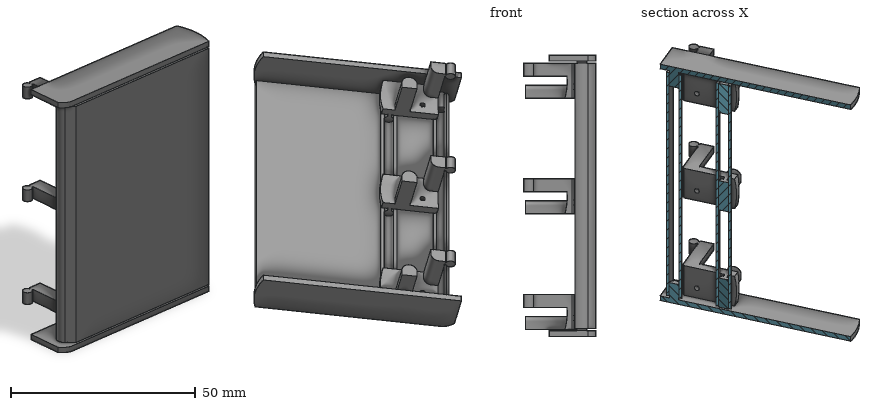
import cadquery as cq
import math

total_height = 76.4
end_plate_thickness = 1.6
panel_gap = 0.5
panel_bottom = end_plate_thickness + panel_gap
panel_top = total_height - panel_bottom

panel_thickness = 2.15
panel_face_x = -panel_thickness
panel_front_y = 4.7
side_corner_y = 54.7

bead_diameter = 2.7
bead_radius = bead_diameter / 2
socket_outer_radius = 2.2
socket_x = -3.8
hinge_y = 4.05
rail_y = 18.5
wide_lip_angle = 75.0
hook_lip_angle = 30.0

end_plate_depth = 12.7
end_plate_crown_y = 55.85
corner_cut_x = 2.15
corner_cut_y = 3.05
corner_bulge = 0.4
hinge_pin_length = 5.0

clip_count = 3
clip_pitch = 31.4
clip_height = 9.55
clip_back_x = -5.95
clip_waist_x = -7.8
clip_hollow = 0.6
clip_front_y = 5.6
clip_end_y = 20.85
clip_end_bulge = 0.6
back_chamfer = 0.5
arm_tip_x = -19.2
arm_width = 4.05
arm_height = 3.6
arm_fillet = 2.15
bead_x = -18.3
neck_width = 1.1
tab_y = 15.5
tab_width = 4.1
tab_wall_height = 1.9
tab_height = 3.6
hole_diameter = 1.4
hole_y = 9.85
hole_height = 3.1


def box(x_range, y_range, z_range):
    """Axis-aligned box between two limits on each axis."""
    lower = (x_range[0], y_range[0], z_range[0])
    size = (x_range[1] - x_range[0], y_range[1] - y_range[0], z_range[1] - z_range[0])
    return cq.Workplane("XY").box(*size, centered=False).translate(lower)


def rod(x, y, radius, z_bottom, z_top):
    """Round rod along Z."""
    return cq.Workplane("XY", origin=(x, y, z_bottom)).circle(radius).extrude(z_top - z_bottom)


def snap_socket(center_y, rear_lip_angle, front_lip_angle):
    """C-shaped snap socket with radial lip ends, open toward -X and cut flat on the panel face."""

    def polar(radius, angle):
        return (socket_x - radius * math.cos(math.radians(angle)),
                center_y + radius * math.sin(math.radians(angle)))

    socket = (
        cq.Workplane("XY", origin=(0, 0, panel_bottom))
        .moveTo(*polar(socket_outer_radius, rear_lip_angle))
        .threePointArc(polar(socket_outer_radius, 180), polar(socket_outer_radius, -front_lip_angle))
        .lineTo(*polar(bead_radius, -front_lip_angle))
        .threePointArc(polar(bead_radius, 180), polar(bead_radius, rear_lip_angle))
        .close()
        .extrude(panel_top - panel_bottom)
    )
    reach = 2 * socket_outer_radius
    behind_face = box(
        (panel_face_x, panel_face_x + reach),
        (center_y - reach, center_y + reach),
        (panel_bottom, panel_top),
    )
    return socket.cut(behind_face)


def rounded_lip(center_y, side):
    """Round nose on one lip of a wide-open socket; side is +1 for the +Y lip, -1 for the -Y lip."""
    lip_angle = math.radians(wide_lip_angle)
    middle_radius = (bead_radius + socket_outer_radius) / 2
    return rod(
        socket_x - middle_radius * math.cos(lip_angle),
        center_y + side * middle_radius * math.sin(lip_angle),
        (socket_outer_radius - bead_radius) / 2,
        panel_bottom,
        panel_top,
    )


def make_panel():
    """Flat panel with the hinge socket on its bevelled front edge and the rail socket on its face."""
    slab = (
        cq.Workplane("XY", origin=(0, 0, panel_bottom))
        .moveTo(0, panel_front_y)
        .lineTo(0, side_corner_y)
        .lineTo(panel_face_x, side_corner_y)
        .lineTo(panel_face_x, panel_front_y - panel_thickness)
        .close()
        .extrude(panel_top - panel_bottom)
    )
    hinge_socket = snap_socket(hinge_y, wide_lip_angle, hook_lip_angle)
    rail_socket = snap_socket(rail_y, wide_lip_angle, wide_lip_angle)
    for side in (1, -1):
        rail_socket = rail_socket.union(rounded_lip(rail_y, side))
    return slab.union(hinge_socket).union(rail_socket)


def make_end_plate(plate_bottom, pin_bottom):
    """End plate with a crowned far end, a rounded rear corner and one hinge pin."""
    corner_chord = math.hypot(corner_cut_x, corner_cut_y)
    corner_middle = (
        -corner_cut_x / 2 + corner_bulge * corner_cut_y / corner_chord,
        corner_cut_y / 2 - corner_bulge * corner_cut_x / corner_chord,
    )
    plate = (
        cq.Workplane("XY", origin=(0, 0, plate_bottom))
        .moveTo(-end_plate_depth, 0)
        .lineTo(-corner_cut_x, 0)
        .threePointArc(corner_middle, (0, corner_cut_y))
        .lineTo(0, side_corner_y)
        .threePointArc((-end_plate_depth / 2, end_plate_crown_y), (-end_plate_depth, side_corner_y))
        .close()
        .extrude(end_plate_thickness)
    )
    return plate.union(rod(socket_x, hinge_y, bead_radius, pin_bottom, pin_bottom + hinge_pin_length))


def clip_plate():
    """Back plate of a clip: hollow front face, bowed far end, chamfered rear edge."""
    middle_z = clip_height / 2
    rim_x = clip_waist_x - clip_hollow
    hollow_profile = (
        cq.Workplane("XZ")
        .moveTo(clip_back_x, 0)
        .lineTo(rim_x, 0)
        .threePointArc((clip_waist_x, middle_z), (rim_x, clip_height))
        .lineTo(clip_back_x, clip_height)
        .close()
        .extrude(-(clip_end_y + clip_end_bulge))
    )
    bowed_outline = (
        cq.Workplane("YZ", origin=(rim_x, 0, 0))
        .moveTo(clip_front_y, 0)
        .lineTo(clip_end_y, 0)
        .threePointArc((clip_end_y + clip_end_bulge, middle_z), (clip_end_y, clip_height))
        .lineTo(clip_front_y, clip_height)
        .close()
        .extrude(clip_back_x - rim_x)
    )
    plate = hollow_profile.intersect(bowed_outline)
    return plate.edges("|Z and >X and <Y").chamfer(back_chamfer)


def clip_arm():
    """Upper arm, ending in a bead on a narrow neck."""
    arm_bottom = clip_height - arm_height
    arm = box(
        (arm_tip_x, clip_waist_x),
        (clip_front_y, clip_front_y + arm_width),
        (arm_bottom, clip_height),
    )
    arm = arm.edges("|X and >Y and <Z").fillet(arm_fillet)
    neck = box(
        (bead_x - neck_width / 2, bead_x + neck_width / 2),
        (hinge_y, clip_front_y),
        (arm_bottom, clip_height),
    )
    return arm.union(neck).union(rod(bead_x, hinge_y, bead_radius, arm_bottom, clip_height))


def clip_tab():
    """Lower tab with an arched top."""
    half_width = tab_width / 2
    return (
        cq.Workplane("YZ", origin=(arm_tip_x, 0, 0))
        .moveTo(tab_y - half_width, 0)
        .lineTo(tab_y + half_width, 0)
        .lineTo(tab_y + half_width, tab_wall_height)
        .threePointArc((tab_y, tab_height), (tab_y - half_width, tab_wall_height))
        .close()
        .extrude(clip_waist_x - arm_tip_x)
    )


def rail_bead():
    """Full-height bead on a neck that snaps into the rail socket."""
    neck = box(
        (clip_back_x, socket_x),
        (rail_y - neck_width / 2, rail_y + neck_width / 2),
        (0, clip_height),
    )
    return neck.union(rod(socket_x, rail_y, bead_radius, 0, clip_height))


def make_clip(bottom_z):
    """One clip, with its lower face at bottom_z."""
    hole = (
        cq.Workplane("YZ", origin=(clip_waist_x - clip_hollow, hole_y, hole_height))
        .circle(hole_diameter / 2)
        .extrude(clip_back_x - clip_waist_x + clip_hollow)
    )
    clip = clip_plate().union(clip_arm()).union(clip_tab()).union(rail_bead()).cut(hole)
    return clip.translate((0, 0, bottom_z))


panel = make_panel()
lower_end_plate = make_end_plate(0, end_plate_thickness)
upper_end_plate = make_end_plate(
    total_height - end_plate_thickness,
    total_height - end_plate_thickness - hinge_pin_length,
)
clips = [make_clip(panel_top - clip_height - index * clip_pitch) for index in range(clip_count)]

result = cq.Compound.makeCompound([
    panel.val(),
    lower_end_plate.val(),
    upper_end_plate.val(),
    *[clip.val() for clip in clips],
])